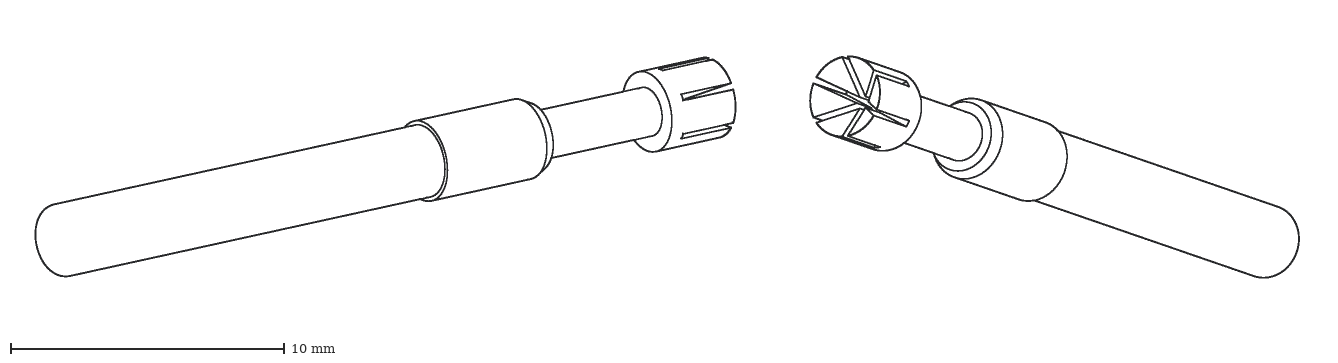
import cadquery as cq

total_length = 30.3
rear_y = -total_length / 2
front_y = total_length / 2

head_diameter = 3.0
collar_diameter = head_diameter
stem_diameter = 1.82
body_diameter = 2.7

head_length = 2.95
stem_length = 5.3
collar_length = 5.03

collar_taper_length = 0.45
collar_taper_height = 0.2
rear_rounding = 0.42

slot_count = 6
slot_width = 0.25
slot_depth = 2.3

rim_width = 0.015
cup_radius = head_diameter / 2 - rim_width
cup_depth = cup_radius

head_back_y = front_y - head_length
collar_front_y = head_back_y - stem_length
collar_back_y = collar_front_y - collar_length


def make_rod(diameter, start_y, end_y):
    """Solid cylinder on the Y axis between two stations."""
    rod = cq.Workplane("XZ", origin=(0, end_y, 0)).circle(diameter / 2)
    return rod.extrude(end_y - start_y)


def make_body():
    """Long rear barrel with a rounded end."""
    barrel = make_rod(body_diameter, rear_y, collar_back_y)
    return barrel.faces("<Y").edges().fillet(rear_rounding)


def make_collar():
    """Collar with a shallow lead-in taper at its front."""
    collar = make_rod(collar_diameter, collar_back_y, collar_front_y)
    return collar.faces(">Y").chamfer(collar_taper_length, collar_taper_height)


def make_cup():
    """Cone that hollows the front of the head."""
    half_section = cq.Workplane("XY").polyline(
        [(0, front_y), (cup_radius, front_y), (0, front_y - cup_depth)]
    )
    return half_section.close().revolve(360, (0, 0, 0), (0, 1, 0))


def make_head():
    """Cupped head split by evenly spaced slots, each cut crossing the full diameter."""
    head = make_rod(head_diameter, head_back_y, front_y).cut(make_cup())
    slot = cq.Workplane("XY").box(slot_width, slot_depth, head_diameter)
    slot = slot.translate((0, front_y - slot_depth / 2, 0))
    crossing_slots = slot_count // 2
    for index in range(crossing_slots):
        angle = index * 180 / crossing_slots
        head = head.cut(slot.rotate((0, 0, 0), (0, 1, 0), angle))
    return head


stem = make_rod(stem_diameter, collar_front_y, head_back_y)
result = make_body().union(make_collar()).union(stem).union(make_head())